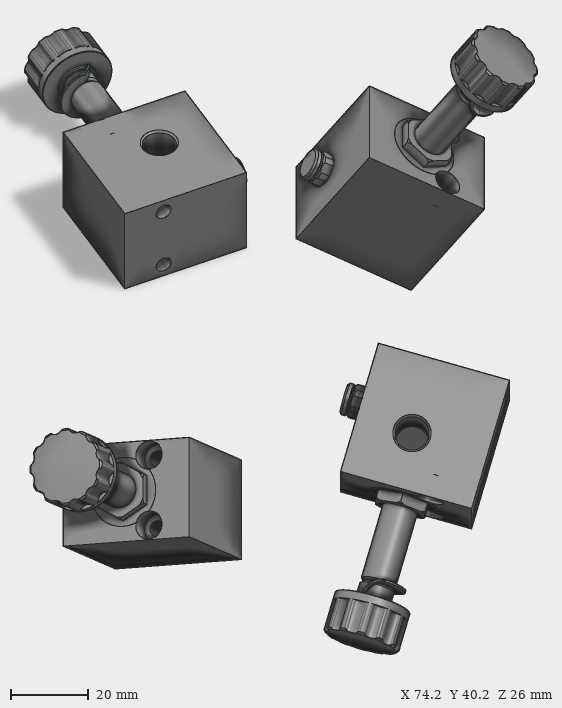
import cadquery as cq
import math


BLOCK_SIDE = 35.0
BLOCK_HEIGHT = 26.0
BLOCK_OFFSET_Y = -0.8
BLOCK_TOP = BLOCK_HEIGHT / 2
BLOCK_BACK_Y = BLOCK_OFFSET_Y + BLOCK_SIDE / 2

PORT_X = 14.8
PORT_Y = 1.85
PORT_RADIUS = 4.4
PORT_CHAMFER = 0.5
PORT_DEPTH = 13.0

MOUNT_Y = -7.1
MOUNT_Z = 9.1
MOUNT_RADIUS = 2.15
COUNTERBORE_RADIUS = 3.6
COUNTERBORE_DEPTH = 5.9

FITTING_X = 21.2
FITTING_RADIUS = 4.45
FITTING_APOTHEM = 4.2
FITTING_TURN = -12.0
FITTING_HEX_LENGTH = 3.1
FITTING_HEX_CHAMFER_RADIAL = 0.3
FITTING_HEX_CHAMFER_AXIAL = 0.5
FITTING_NECK_RADIUS = 3.1
FITTING_DISC_START = 3.5
FITTING_LENGTH = 5.2
FITTING_DISC_RADIUS = 4.2
FITTING_DISC_OUTER_CHAMFER = 0.5
FITTING_DISC_INNER_CHAMFER = 0.2

SPOT_FACE_RADIUS = 9.0
SPOT_FACE_DEPTH = 0.1

HEX_PROJECTION = 2.7
HEX_ACROSS_CORNERS = 15.05
HEX_CHAMFER = 0.5

STEM_RADIUS = 4.6
GROOVE_RADIUS = 4.0
GROOVE_FRONT_X = -24.2
GROOVE_BACK_X = -22.6
GROOVE_FLANK = 0.6

COLLAR_BACK_X = -27.3
COLLAR_RADIUS = 5.6
COLLAR_CHAMFER = 0.3

KNOB_TIP_X = -39.2
KNOB_DOME_HEIGHT = 0.3
KNOB_BACK_X = -28.2
KNOB_RADIUS = 10.0
KNOB_FRONT_CHAMFER = 0.5
KNOB_BACK_CHAMFER = 0.15
SCALLOP_COUNT = 12
SCALLOP_END_X = -30.4
SCALLOP_RADIUS = 2.1
SCALLOP_FLOOR = 9.0
LOBE_ROUNDING = 0.75

CLIP_RADIUS = 7.35
CLIP_THICKNESS = 0.5
CLIP_BACK_X = -22.85
CLIP_BEND_Y = -2.0
CLIP_BEND_RADIUS = 3.8
CLIP_BEND_ANGLE = 61.0
CLIP_END = 6.3
CLIP_OUTLINE_STEPS = 8


def fitting_hexagon():
    """Round bar with six flats and a chamfered outer end, along +Z."""
    bar = (
        cq.Workplane("XY")
        .circle(FITTING_RADIUS)
        .extrude(FITTING_HEX_LENGTH)
        .faces(">Z")
        .chamfer(FITTING_HEX_CHAMFER_AXIAL, FITTING_HEX_CHAMFER_RADIAL)
    )
    across_corners = 2 * FITTING_APOTHEM / math.cos(math.pi / 6)
    hexagon = (
        cq.Workplane("XY")
        .polygon(6, across_corners)
        .extrude(FITTING_HEX_LENGTH)
        .rotate((0, 0, 0), (0, 0, 1), FITTING_TURN)
    )
    return bar.intersect(hexagon)


def make_fitting():
    neck = cq.Workplane("XY").circle(FITTING_NECK_RADIUS).extrude(FITTING_LENGTH)
    disc = (
        cq.Workplane("XY", origin=(0, 0, FITTING_DISC_START))
        .circle(FITTING_DISC_RADIUS)
        .extrude(FITTING_LENGTH - FITTING_DISC_START)
        .faces(">Z")
        .chamfer(FITTING_DISC_OUTER_CHAMFER)
        .faces("<Z")
        .chamfer(FITTING_DISC_INNER_CHAMFER)
    )
    fitting = fitting_hexagon().union(neck).union(disc)
    return fitting.rotate((0, 0, 0), (1, 0, 0), -90).translate((FITTING_X, BLOCK_BACK_Y, 0))


def make_block():
    block = cq.Workplane("XY").box(BLOCK_SIDE, BLOCK_SIDE, BLOCK_HEIGHT).translate(
        (BLOCK_SIDE / 2, BLOCK_OFFSET_Y, 0)
    )
    port = (
        cq.Workplane("XY", origin=(PORT_X, PORT_Y, BLOCK_TOP))
        .circle(PORT_RADIUS)
        .extrude(-PORT_DEPTH)
    )
    port_chamfer = (
        cq.Workplane("XY", origin=(PORT_X, PORT_Y, BLOCK_TOP))
        .circle(PORT_RADIUS + PORT_CHAMFER)
        .extrude(-PORT_CHAMFER, taper=45)
    )
    block = block.cut(port).cut(port_chamfer)
    mounts = cq.Workplane("YZ").pushPoints([(MOUNT_Y, MOUNT_Z), (MOUNT_Y, -MOUNT_Z)])
    block = block.cut(mounts.circle(MOUNT_RADIUS).extrude(BLOCK_SIDE))
    block = block.cut(mounts.circle(COUNTERBORE_RADIUS).extrude(COUNTERBORE_DEPTH))
    spot_face = cq.Workplane("YZ").circle(SPOT_FACE_RADIUS).extrude(SPOT_FACE_DEPTH)
    return block.cut(spot_face).union(make_fitting())


def valve_hexagon():
    hex_length = HEX_PROJECTION + SPOT_FACE_DEPTH
    hexagon = (
        cq.Workplane("YZ", origin=(-HEX_PROJECTION, 0, 0))
        .polygon(6, HEX_ACROSS_CORNERS)
        .extrude(hex_length)
        .rotate((0, 0, 0), (1, 0, 0), 30)
    )
    chamfered_bar = (
        cq.Workplane("YZ", origin=(-HEX_PROJECTION, 0, 0))
        .circle(HEX_ACROSS_CORNERS / 2)
        .extrude(hex_length)
        .faces("<X")
        .chamfer(HEX_CHAMFER)
    )
    return hexagon.intersect(chamfered_bar)


def make_stem():
    """Collar and grooved stem, turned about the X axis."""
    return (
        cq.Workplane("XY")
        .moveTo(KNOB_BACK_X, 0)
        .lineTo(KNOB_BACK_X, COLLAR_RADIUS)
        .lineTo(COLLAR_BACK_X - COLLAR_CHAMFER, COLLAR_RADIUS)
        .lineTo(COLLAR_BACK_X, COLLAR_RADIUS - COLLAR_CHAMFER)
        .lineTo(COLLAR_BACK_X, STEM_RADIUS)
        .lineTo(GROOVE_FRONT_X, STEM_RADIUS)
        .lineTo(GROOVE_FRONT_X + GROOVE_FLANK, GROOVE_RADIUS)
        .lineTo(GROOVE_BACK_X - GROOVE_FLANK, GROOVE_RADIUS)
        .lineTo(GROOVE_BACK_X, STEM_RADIUS)
        .lineTo(0, STEM_RADIUS)
        .lineTo(0, 0)
        .close()
        .revolve(360, (0, 0, 0), (1, 0, 0))
    )


def knob_blank():
    front_x = KNOB_TIP_X + KNOB_DOME_HEIGHT
    face_radius = KNOB_RADIUS - KNOB_FRONT_CHAMFER
    dome_sphere_radius = (face_radius**2 + KNOB_DOME_HEIGHT**2) / (2 * KNOB_DOME_HEIGHT)
    return (
        cq.Workplane("XY")
        .moveTo(KNOB_BACK_X, 0)
        .lineTo(KNOB_BACK_X, KNOB_RADIUS - KNOB_BACK_CHAMFER)
        .lineTo(KNOB_BACK_X - KNOB_BACK_CHAMFER, KNOB_RADIUS)
        .lineTo(front_x + KNOB_FRONT_CHAMFER, KNOB_RADIUS)
        .lineTo(front_x, face_radius)
        .radiusArc((KNOB_TIP_X, 0), -dome_sphere_radius)
        .close()
        .revolve(360, (0, 0, 0), (1, 0, 0))
    )


def scallop_cutter(angle):
    """Straight cutter along X that hollows one scallop and rounds the lobe edges beside it."""
    centre = SCALLOP_FLOOR + SCALLOP_RADIUS
    round_centre = KNOB_RADIUS - LOBE_ROUNDING
    reach = SCALLOP_RADIUS + LOBE_ROUNDING
    half_angle = math.acos((round_centre**2 + centre**2 - reach**2) / (2 * round_centre * centre))
    round_y = round_centre * math.cos(half_angle)
    round_z = round_centre * math.sin(half_angle)
    rim_y = KNOB_RADIUS * math.cos(half_angle)
    rim_z = KNOB_RADIUS * math.sin(half_angle)
    scallop_share = SCALLOP_RADIUS / reach
    join_y = centre + (round_y - centre) * scallop_share
    join_z = round_z * scallop_share
    outer_y = KNOB_RADIUS + LOBE_ROUNDING
    return (
        cq.Workplane("YZ", origin=(SCALLOP_END_X, 0, 0))
        .moveTo(outer_y, rim_z)
        .lineTo(rim_y, rim_z)
        .radiusArc((join_y, join_z), LOBE_ROUNDING)
        .threePointArc((SCALLOP_FLOOR, 0), (join_y, -join_z))
        .radiusArc((rim_y, -rim_z), LOBE_ROUNDING)
        .lineTo(outer_y, -rim_z)
        .close()
        .extrude(KNOB_TIP_X - SCALLOP_END_X)
        .rotate((0, 0, 0), (1, 0, 0), angle)
    )


def make_knob():
    knob = knob_blank()
    pitch = 360 / SCALLOP_COUNT
    for index in range(SCALLOP_COUNT):
        knob = knob.cut(scallop_cutter((index + 0.5) * pitch))
    return knob


def clip_point(distance, height):
    """(x, y) of the sheet at an unrolled distance from the axis and a height above its front face."""
    bend = math.radians(CLIP_BEND_ANGLE)
    past_bend_start = distance - CLIP_BEND_Y
    turned = min(max(past_bend_start / CLIP_BEND_RADIUS, 0), bend)
    straight = past_bend_start - CLIP_BEND_RADIUS * turned
    radius = CLIP_BEND_RADIUS + height
    bend_centre_x = CLIP_BACK_X - CLIP_THICKNESS - CLIP_BEND_RADIUS
    x = bend_centre_x + radius * math.cos(turned) - straight * math.sin(turned)
    y = CLIP_BEND_Y + radius * math.sin(turned) + straight * math.cos(turned)
    return x, y


def clip_sheet():
    bend_length = CLIP_BEND_RADIUS * math.radians(CLIP_BEND_ANGLE)
    bend_middle = CLIP_BEND_Y + bend_length / 2
    bend_end = CLIP_BEND_Y + bend_length
    back = CLIP_THICKNESS
    return (
        cq.Workplane("XY", origin=(0, 0, -CLIP_RADIUS))
        .moveTo(*clip_point(-CLIP_RADIUS, 0))
        .lineTo(*clip_point(CLIP_BEND_Y, 0))
        .threePointArc(clip_point(bend_middle, 0), clip_point(bend_end, 0))
        .lineTo(*clip_point(CLIP_END, 0))
        .lineTo(*clip_point(CLIP_END, back))
        .lineTo(*clip_point(bend_end, back))
        .threePointArc(clip_point(bend_middle, back), clip_point(CLIP_BEND_Y, back))
        .lineTo(*clip_point(-CLIP_RADIUS, back))
        .close()
        .extrude(2 * CLIP_RADIUS)
    )


def bent_clip_outline():
    """Outline of the bent part along Y: a round disc edge drawn out over the bend."""
    step = (CLIP_END - CLIP_BEND_Y) / CLIP_OUTLINE_STEPS
    distances = [CLIP_BEND_Y + index * step for index in range(CLIP_OUTLINE_STEPS + 1)]
    edge = [
        (clip_point(distance, CLIP_THICKNESS / 2)[0], math.sqrt(CLIP_RADIUS**2 - distance**2))
        for distance in distances
    ]
    mirrored_edge = [(x, -z) for x, z in reversed(edge)]
    start_half_width = edge[0][1]
    return (
        cq.Workplane("XZ", origin=(0, CLIP_BEND_Y, 0))
        .moveTo(CLIP_BACK_X, -start_half_width)
        .lineTo(CLIP_BACK_X, start_half_width)
        .lineTo(*edge[0])
        .spline(edge[1:], includeCurrent=True)
        .lineTo(*mirrored_edge[0])
        .spline(mirrored_edge[1:], includeCurrent=True)
        .close()
        .extrude(-(CLIP_END - CLIP_BEND_Y))
    )


def flat_clip_outline():
    """Part of the round disc on the -Y side of the bend."""
    side = 2 * CLIP_RADIUS
    flat_side = cq.Workplane("XY", origin=(CLIP_BACK_X, CLIP_BEND_Y - side / 2, 0)).box(side, side, side)
    disc = (
        cq.Workplane("YZ", origin=(CLIP_BACK_X - CLIP_THICKNESS, 0, 0))
        .circle(CLIP_RADIUS)
        .extrude(CLIP_THICKNESS)
    )
    return disc.intersect(flat_side)


def make_clip():
    """Bent sheet trimmed to the outline of a disc that was round before bending."""
    return clip_sheet().intersect(bent_clip_outline().union(flat_clip_outline()))


def make_valve():
    return make_stem().union(valve_hexagon()).union(make_knob()).union(make_clip())


block = make_block()
valve = make_valve()
result = cq.Compound.makeCompound([block.val(), valve.val()])